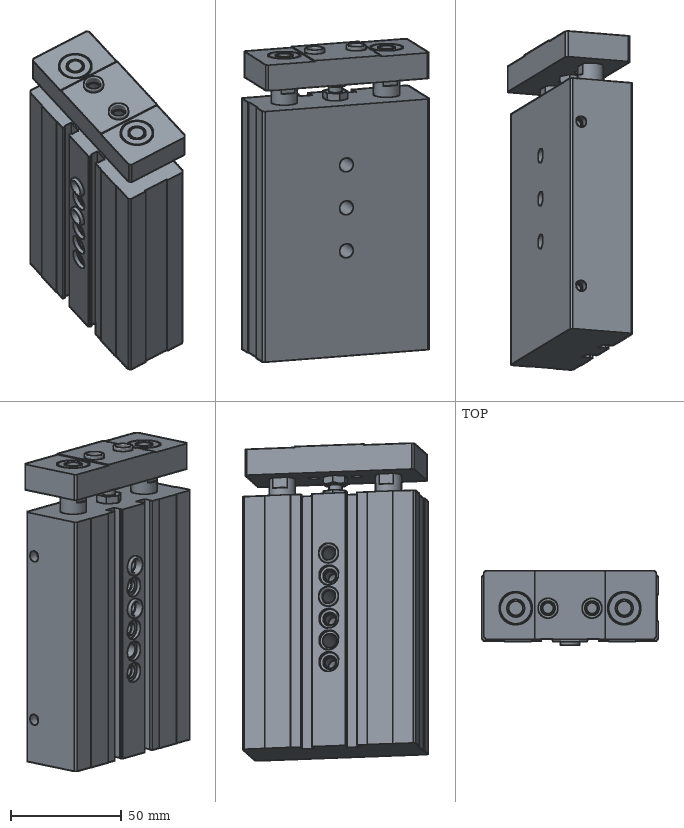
import cadquery as cq
import math


OVERALL_HEIGHT = 140.4
OVERALL_DEPTH = 33.8

AXIS_Y = -0.1

HOUSING_WIDTH = 80.0
HOUSING_HEIGHT = 116.4
HOUSING_BACK_Y = 15.0
HOUSING_FRONT_Y = -15.0
EDGE_CHAMFER = 1.0
PAD_RISE = 0.21
OUTER_PAD_INNER_X = 17.7
OUTER_PAD_OUTER_X = 29.6
CENTRE_PAD_HALF_WIDTH = 7.6
CENTRE_PAD_CHAMFER = 0.49
PAD_FACE_Y = HOUSING_FRONT_Y - PAD_RISE

SLOT_INNER_X = CENTRE_PAD_HALF_WIDTH + CENTRE_PAD_CHAMFER
SLOT_OUTER_X = 12.9
SLOT_DEPTH = 4.9
SLOT_LIP_THICKNESS = 1.4
SLOT_UNDERCUT = 0.49

SIDE_GROOVE_WIDTH = 12.0
SIDE_GROOVE_DEPTH = 0.5

PITCH = 10.0
LOWEST_HOLE_Z = 38.9
HOLE_COUNT = 6
THROUGH_HOLE_DIAMETER = 6.5
THREAD_DIAMETER = 6.0
THREAD_CORE_DIAMETER = 4.9
THREAD_DEPTH = 3.8
THREAD_CORE_DEPTH = 12.0
DRILL_TIP_ANGLE = 118.0

PORT_DIAMETER = 4.9
PORT_CORE_DIAMETER = 4.1
PORT_DEPTH = 4.9
PORT_CORE_DEPTH = 6.0
PORT_Y = PITCH
PORT_HEIGHTS = (20.2, 96.5)

SLEEVE_DIAMETER = 9.0
SLEEVE_BORE = 6.5
SLEEVE_PROTRUSION = 1.7
SLEEVE_SEAT_DEPTH = 2.1

STROKE_GAP = 10.0
PLATE_BOTTOM_Z = HOUSING_HEIGHT + STROKE_GAP
PLATE_TOP_Z = OVERALL_HEIGHT - SLEEVE_PROTRUSION
PLATE_PAD_RISE = 0.4
PLATE_PAD_WIDTH = 32.0
PLATE_THREAD_DEPTH = 10.0
PLATE_WIDTH = 78.2
PLATE_FRONT_Y = -14.11
PLATE_BACK_Y = OVERALL_DEPTH + PAD_FACE_Y - SLEEVE_PROTRUSION
PLATE_SHOULDER_Z = PLATE_TOP_Z - PLATE_PAD_RISE

ROD_X = 24.5
ROD_DIAMETER = 12.0
ROD_FLAT_WIDTH = 10.0
ROD_FLAT_HEIGHT = 4.8
ROD_STUD_DIAMETER = 8.0
ROD_TIP_DIAMETER = 6.5
ROD_HEAD_DIAMETER = 14.0
ROD_HEAD_SEAT_DIAMETER = 15.0
ROD_HEAD_HEIGHT = 5.0
ROD_TIP_CHAMFER = (ROD_STUD_DIAMETER - ROD_TIP_DIAMETER) / 2

PISTON_ROD_DIAMETER = 6.0
HEX_WIDTH = 10.0
HEX_CHAMFER_ANGLE = 30.0
UPPER_HEX_HEIGHT = 3.8
UPPER_HEX_FACE_DIAMETER = 8.8
LOWER_HEX_HEIGHT = 3.4
LOWER_HEX_FACE_DIAMETER = 10.5


def box(x_min, x_max, y_min, y_max, z_min, z_max):
    size = (x_max - x_min, y_max - y_min, z_max - z_min)
    return cq.Workplane("XY").box(*size, centered=False).translate((x_min, y_min, z_min))


def cylinder(diameter, z_min, z_max):
    return cq.Workplane("XY").workplane(offset=z_min).circle(diameter / 2).extrude(z_max - z_min)


def threaded_hole(thread_diameter, thread_depth, core_diameter, core_depth):
    """Blind stepped hole opening at the origin and running along -Z to a conical tip."""
    thread_radius = thread_diameter / 2
    core_radius = core_diameter / 2
    tip = core_radius / math.tan(math.radians(DRILL_TIP_ANGLE / 2))
    outline = [
        (0, 0),
        (thread_radius, 0),
        (thread_radius, -thread_depth),
        (core_radius, -thread_depth),
        (core_radius, -core_depth),
        (0, -core_depth - tip),
    ]
    return cq.Workplane("XZ").polyline(outline).close().revolve(360, (0, 0, 0), (0, 1, 0))


def on_front(shape, z):
    """Turn a shape built along +Z to point out of the front pad at height z."""
    return shape.rotate((0, 0, 0), (1, 0, 0), 90).translate((0, PAD_FACE_Y, z))


HOLE_HEIGHTS = [LOWEST_HOLE_Z + PITCH * index for index in range(HOLE_COUNT)]
THREAD_HEIGHTS = HOLE_HEIGHTS[0::2]
THROUGH_HEIGHTS = HOLE_HEIGHTS[1::2]
FRONT_SLEEVE_HEIGHTS = THROUGH_HEIGHTS[1:]


def make_housing():
    half_width = HOUSING_WIDTH / 2
    body = box(-half_width, half_width, HOUSING_FRONT_Y, HOUSING_BACK_Y, 0, HOUSING_HEIGHT)
    body = body.edges("|Z").chamfer(EDGE_CHAMFER)

    pad_root_y = PAD_FACE_Y + CENTRE_PAD_CHAMFER
    body = body.cut(box(-SLOT_INNER_X, SLOT_INNER_X, PAD_FACE_Y, pad_root_y, 0, HOUSING_HEIGHT))
    centre_pad = (
        cq.Workplane("XY")
        .moveTo(-SLOT_INNER_X, pad_root_y)
        .lineTo(-CENTRE_PAD_HALF_WIDTH, PAD_FACE_Y)
        .lineTo(CENTRE_PAD_HALF_WIDTH, PAD_FACE_Y)
        .lineTo(SLOT_INNER_X, pad_root_y)
        .close()
        .extrude(HOUSING_HEIGHT)
    )
    body = body.union(centre_pad)
    slot_undercut_y = HOUSING_FRONT_Y + SLOT_LIP_THICKNESS
    slot_floor_y = HOUSING_FRONT_Y + SLOT_DEPTH
    for side in (-1, 1):
        near, far = sorted((side * OUTER_PAD_INNER_X, side * OUTER_PAD_OUTER_X))
        body = body.union(box(near, far, PAD_FACE_Y, HOUSING_FRONT_Y, 0, HOUSING_HEIGHT))
        near, far = sorted((side * SLOT_INNER_X, side * SLOT_OUTER_X))
        opening = box(near, far, PAD_FACE_Y, slot_floor_y, 0, HOUSING_HEIGHT)
        undercut = box(
            near - SLOT_UNDERCUT, far + SLOT_UNDERCUT, slot_undercut_y, slot_floor_y, 0, HOUSING_HEIGHT
        )
        body = body.cut(opening).cut(undercut)

    groove_half = SIDE_GROOVE_WIDTH / 2
    groove_floor_x = half_width - SIDE_GROOVE_DEPTH
    body = body.cut(box(groove_floor_x, half_width, -groove_half, groove_half, 0, HOUSING_HEIGHT))

    for z in HOLE_HEIGHTS:
        body = body.cut(on_front(cylinder(SLEEVE_DIAMETER, -SLEEVE_SEAT_DEPTH, 0), z))
    for z in THROUGH_HEIGHTS:
        through_length = HOUSING_BACK_Y - PAD_FACE_Y
        body = body.cut(on_front(cylinder(THROUGH_HOLE_DIAMETER, -through_length, 0), z))
    thread = threaded_hole(THREAD_DIAMETER, THREAD_DEPTH, THREAD_CORE_DIAMETER, THREAD_CORE_DEPTH)
    for z in THREAD_HEIGHTS:
        body = body.cut(on_front(thread, z))

    port = threaded_hole(PORT_DIAMETER, PORT_DEPTH, PORT_CORE_DIAMETER, PORT_CORE_DEPTH)
    port = port.rotate((0, 0, 0), (0, 1, 0), -90)
    for z in PORT_HEIGHTS:
        body = body.cut(port.translate((-half_width, PORT_Y, z)))
    return body


def make_hex(z_min, height, face_diameter):
    """Hexagon with corners on the Y axis and a chamfer round its lower corners."""
    corner_diameter = HEX_WIDTH / math.cos(math.radians(30))
    prism = cq.Workplane("XY").polygon(6, corner_diameter).extrude(height)
    prism = prism.rotate((0, 0, 0), (0, 0, 1), 30)
    chamfer_width = (corner_diameter - face_diameter) / 2
    chamfer_height = chamfer_width * math.tan(math.radians(HEX_CHAMFER_ANGLE))
    outline = [
        (0, 0),
        (face_diameter / 2, 0),
        (corner_diameter / 2, chamfer_height),
        (corner_diameter / 2, height),
        (0, height),
    ]
    envelope = cq.Workplane("XZ").polyline(outline).close().revolve(360, (0, 0, 0), (0, 1, 0))
    return prism.intersect(envelope).translate((0, 0, z_min))


def make_yoke():
    """Yoke plate with the piston rod that carries it."""
    half_width = PLATE_WIDTH / 2
    plate = box(
        -half_width, half_width, PLATE_FRONT_Y, PLATE_BACK_Y, PLATE_BOTTOM_Z, PLATE_SHOULDER_Z
    )
    plate = plate.edges("|Z").chamfer(EDGE_CHAMFER)
    pad_half = PLATE_PAD_WIDTH / 2
    plate = plate.union(
        box(-pad_half, pad_half, PLATE_FRONT_Y, PLATE_BACK_Y, PLATE_SHOULDER_Z, PLATE_TOP_Z)
    )

    sleeve_hole = cylinder(SLEEVE_DIAMETER, PLATE_TOP_Z - SLEEVE_SEAT_DEPTH, PLATE_TOP_Z)
    thread_bottom_z = PLATE_TOP_Z - PLATE_THREAD_DEPTH
    sleeve_hole = sleeve_hole.union(cylinder(THREAD_DIAMETER, thread_bottom_z, PLATE_TOP_Z))
    sleeve_hole = sleeve_hole.union(cylinder(THREAD_CORE_DIAMETER, PLATE_BOTTOM_Z, PLATE_TOP_Z))
    head_seat_z = PLATE_SHOULDER_Z - ROD_HEAD_HEIGHT
    rod_hole = cylinder(ROD_STUD_DIAMETER, PLATE_BOTTOM_Z, PLATE_SHOULDER_Z)
    rod_hole = rod_hole.union(cylinder(ROD_HEAD_SEAT_DIAMETER, head_seat_z, PLATE_SHOULDER_Z))
    for side in (-1, 1):
        plate = plate.cut(sleeve_hole.translate((side * PITCH, AXIS_Y, 0)))
        plate = plate.cut(rod_hole.translate((side * ROD_X, AXIS_Y, 0)))

    piston_rod = cylinder(PISTON_ROD_DIAMETER, HOUSING_HEIGHT, PLATE_BOTTOM_Z)
    upper_hex_z = PLATE_BOTTOM_Z - UPPER_HEX_HEIGHT
    piston_rod = piston_rod.union(make_hex(upper_hex_z, UPPER_HEX_HEIGHT, UPPER_HEX_FACE_DIAMETER))
    piston_rod = piston_rod.union(make_hex(HOUSING_HEIGHT, LOWER_HEX_HEIGHT, LOWER_HEX_FACE_DIAMETER))
    return plate.union(piston_rod.translate((0, AXIS_Y, 0)))


def make_guide_rod(x):
    """Guide rod with spanner flats, a stud through the plate and a round head sunk in it."""
    flats_bottom_z = PLATE_BOTTOM_Z - ROD_FLAT_HEIGHT
    flat_half = ROD_FLAT_WIDTH / 2
    rod_radius = ROD_DIAMETER / 2
    rod = cylinder(ROD_DIAMETER, HOUSING_HEIGHT, flats_bottom_z)
    neck = cylinder(ROD_DIAMETER, flats_bottom_z, PLATE_BOTTOM_Z).intersect(
        box(-rod_radius, rod_radius, -flat_half, flat_half, flats_bottom_z, PLATE_BOTTOM_Z)
    )
    stud = cylinder(ROD_STUD_DIAMETER, PLATE_BOTTOM_Z, PLATE_SHOULDER_Z)
    stud = stud.faces(">Z").chamfer(ROD_TIP_CHAMFER)
    head_ring = (
        cq.Workplane("XY")
        .workplane(offset=PLATE_SHOULDER_Z - ROD_HEAD_HEIGHT)
        .circle(ROD_HEAD_DIAMETER / 2)
        .circle(ROD_STUD_DIAMETER / 2)
        .extrude(ROD_HEAD_HEIGHT)
    )
    return rod.union(neck).union(stud).union(head_ring).translate((x, AXIS_Y, 0))


def make_sleeve():
    """Centring sleeve along Z with fully rounded rims, standing in a seat that opens at the origin."""
    outer = SLEEVE_DIAMETER / 2
    inner = SLEEVE_BORE / 2
    rim_radius = (outer - inner) / 2
    middle = (outer + inner) / 2
    top = SLEEVE_PROTRUSION
    bottom = -SLEEVE_SEAT_DEPTH
    return (
        cq.Workplane("XZ")
        .moveTo(outer, bottom + rim_radius)
        .lineTo(outer, top - rim_radius)
        .threePointArc((middle, top), (inner, top - rim_radius))
        .lineTo(inner, bottom + rim_radius)
        .threePointArc((middle, bottom), (outer, bottom + rim_radius))
        .close()
        .revolve(360, (0, 0, 0), (0, 1, 0))
    )


housing = make_housing()
yoke = make_yoke()
guide_rods = [make_guide_rod(x) for x in (-ROD_X, ROD_X)]
plate_sleeves = [make_sleeve().translate((x, AXIS_Y, PLATE_TOP_Z)) for x in (-PITCH, PITCH)]
front_sleeves = [on_front(make_sleeve(), z) for z in FRONT_SLEEVE_HEIGHTS]

bodies = [housing, yoke, *guide_rods, *plate_sleeves, *front_sleeves]
result = cq.Compound.makeCompound([body.val() for body in bodies])